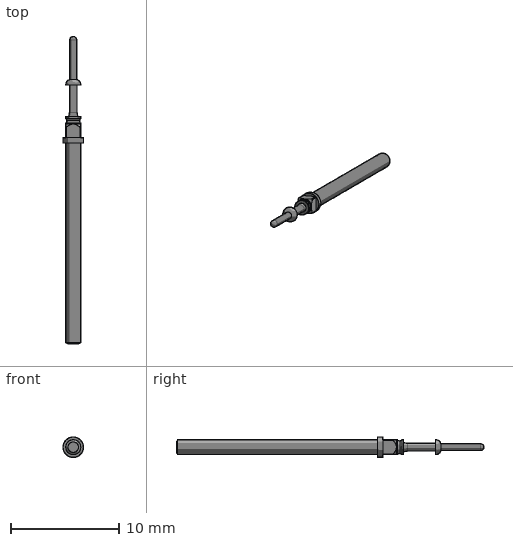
import cadquery as cq
import math

length = 28.4
collar_front = 3.98
collar_shoulder = 4.1
collar_back = 4.5
neck_end = 7.05
disc_front = 7.4
disc_back = 7.58
groove_bottom = 7.75
nose_front = 7.98
square_front = 8.1
flange_front = 9.35
flange_back = 9.85

pin_diameter = 0.65
collar_shoulder_diameter = 1.08
neck_diameter = 0.75
neck_root_diameter = 0.85
barrel_diameter = 1.4
groove_diameter = 1.16
groove_edge_diameter = 1.3
flange_diameter = 1.9
end_face_diameter = 0.97

end_bevel_length = 0.1

square_width = barrel_diameter
square_corner_diameter = 1.87
nose_length = 0.28


def at(station, radius):
    """Point of the half outline in the XY plane, the tip lying at Y = length."""
    return (radius, length - station)


def revolve_outline(outline):
    """Close an outline on the Y axis and turn it into a solid."""
    return outline.close().revolve(360, (0, 0, 0), (0, 1, 0))


def turned_body():
    pin_radius = pin_diameter / 2
    neck_radius = neck_diameter / 2
    neck_root_radius = neck_root_diameter / 2
    barrel_radius = barrel_diameter / 2
    flange_radius = flange_diameter / 2

    outline = cq.Workplane("XY").moveTo(*at(0, 0))
    dome_middle = pin_radius * math.sqrt(0.5)
    outline = outline.threePointArc(at(pin_radius - dome_middle, dome_middle), at(pin_radius, pin_radius))

    outline = outline.lineTo(*at(collar_front, pin_radius))
    outline = outline.threePointArc(
        at(collar_shoulder, collar_shoulder_diameter / 2),
        at(collar_back, barrel_radius),
    )

    for station, radius in [
        (collar_back, neck_radius),
        (neck_end, neck_radius),
        (disc_front, neck_root_radius),
        (disc_front, barrel_radius),
        (disc_back, barrel_radius),
        (groove_bottom, groove_diameter / 2),
        (nose_front, groove_edge_diameter / 2),
        (nose_front, barrel_radius),
        (flange_front, barrel_radius),
        (flange_front, flange_radius),
        (flange_back, flange_radius),
        (flange_back, barrel_radius),
        (length - end_bevel_length, barrel_radius),
        (length, end_face_diameter / 2),
        (length, 0),
    ]:
        outline = outline.lineTo(*at(station, radius))
    return revolve_outline(outline)


def square_section():
    corner_radius = square_corner_diameter / 2
    outline = cq.Workplane("XY").moveTo(*at(square_front, 0))
    for station, radius in [
        (square_front, square_width / 2),
        (square_front + nose_length, corner_radius),
        (flange_front, corner_radius),
        (flange_front, 0),
    ]:
        outline = outline.lineTo(*at(station, radius))
    blank = revolve_outline(outline)
    square_bar = (
        cq.Workplane("XZ", origin=(0, length - square_front, 0))
        .rect(square_width, square_width)
        .extrude(flange_front - square_front)
    )
    return blank.intersect(square_bar)


result = turned_body().union(square_section())